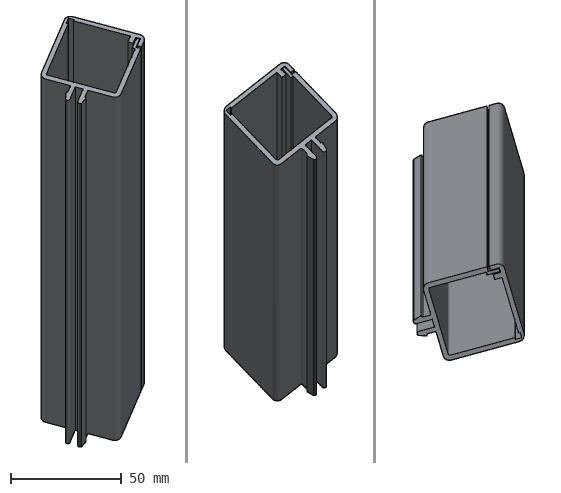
import cadquery as cq

length = 250.0
tube_size = 38.0
wall = 2.38
lid_wall = 2.2
outer_radius = 3.0
inner_radius = 1.0
half = tube_size / 2
inner_half = half - wall
lid_inner_y = half - lid_wall

hinge_skin = 1.5
hinge_rise = 0.8
hinge_notch_width = 2.5
hinge_notch_depth = 3.0

lid_skirt_bottom = 12.5
joint_gap = 1.0
tongue_clearance = 0.2
skirt_wall = 2.0
skirt_inner_x = half - skirt_wall
tongue_width = 1.5
tongue_right = skirt_inner_x - tongue_clearance
tongue_left = tongue_right - tongue_width
tongue_top = lid_inner_y - tongue_clearance
tongue_bottom = 10.5
hook_left = 12.2
hook_right = 14.8
hook_bottom = 13.2

leg_length = 8.5
leg_width = 2.2
leg_offset = 3.0
leg_tip_radius = 1.0
leg_tip_inset = 0.8
leg_tip_bevel = 0.5
leg_base_radius = 0.5
barb_reach = 0.8
barb_start = 3.8
barb_peak = 4.5


def bar(x_min, x_max, y_min, y_max):
    """Full-length rectangular bar between the given limits."""
    return (
        cq.Workplane("XY")
        .center((x_min + x_max) / 2, (y_min + y_max) / 2)
        .rect(x_max - x_min, y_max - y_min)
        .extrude(length)
    )


def make_tube():
    outside = bar(-half, half, -half, half).edges("|Z").fillet(outer_radius)
    cavity = bar(-inner_half, inner_half, -inner_half, lid_inner_y)
    return outside.cut(cavity.edges("|Z").fillet(inner_radius))


def make_hinge_notch():
    """Relief that thins the corner so that the lid can flex open."""
    notch_left = -half + hinge_skin
    notch_top = lid_inner_y + hinge_rise
    return bar(
        notch_left,
        notch_left + hinge_notch_width,
        notch_top - hinge_notch_depth,
        notch_top,
    )


def make_joint_slot():
    """Opening that parts the lid and its skirt from the +X wall."""
    across_wall = bar(tongue_left, half, lid_skirt_bottom - joint_gap, lid_skirt_bottom)
    behind_skirt = bar(
        hook_right, skirt_inner_x, lid_skirt_bottom - joint_gap, lid_inner_y
    )
    return across_wall.union(behind_skirt)


def make_tongue():
    return bar(tongue_left, tongue_right, tongue_bottom, tongue_top).union(
        bar(tongue_left, half - wall / 2, tongue_bottom, lid_skirt_bottom - joint_gap)
    )


def make_lid_hook():
    """Finger that hangs from the lid beside the tongue."""
    return bar(hook_left, hook_right, hook_bottom, half - lid_wall / 2)


def make_leg(side):
    """Clip leg whose outward barb tapers to a rounded tip; side is -1 or +1."""
    inner_x = leg_offset - leg_width / 2
    outer_x = leg_offset + leg_width / 2
    tip_y = -half - leg_length
    root_y = -half + wall / 2
    leg = (
        cq.Workplane("XY")
        .moveTo(inner_x, root_y)
        .lineTo(inner_x, tip_y + leg_tip_radius)
        .radiusArc((inner_x + leg_tip_radius, tip_y), -leg_tip_radius)
        .lineTo(outer_x - leg_tip_inset, tip_y)
        .lineTo(outer_x - leg_tip_inset + leg_tip_bevel, tip_y + leg_tip_bevel)
        .lineTo(outer_x + barb_reach, -half - barb_peak)
        .lineTo(outer_x, -half - barb_start)
        .lineTo(outer_x, -half - leg_base_radius)
        .radiusArc((outer_x + leg_base_radius, -half), leg_base_radius)
        .lineTo(outer_x + leg_base_radius, root_y)
        .close()
        .extrude(length)
    )
    return leg if side > 0 else leg.mirror("YZ")


result = make_tube().cut(make_hinge_notch()).cut(make_joint_slot())
result = result.union(make_tongue()).union(make_lid_hook())
for leg_side in (-1, 1):
    result = result.union(make_leg(leg_side))